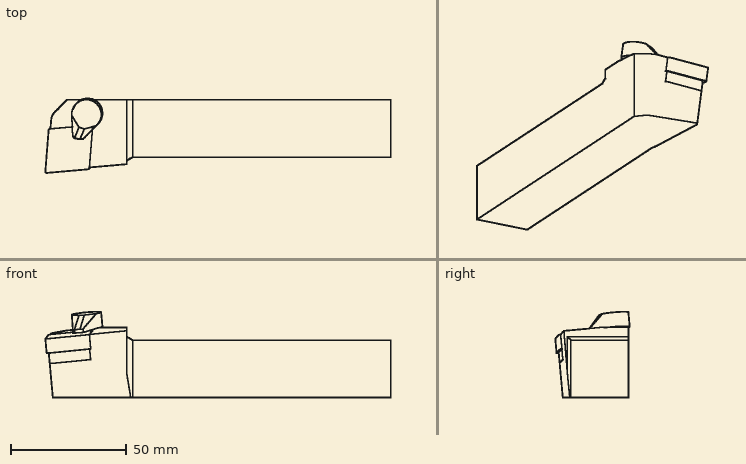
import cadquery as cq
import math

length = 150.0
shank_size = 25.0
head_end = 35.4
neck_length = 2.5
neck_rise = 1.5

seat_slope = 0.091
head_flat_height = 30.6
nose_x = -0.07
nose_y = -32.0
nose_z = 25.5

nose_angle = 80.0
lead_angle = (90.0 - nose_angle) / 2
insert_width = 19.0
insert_side = insert_width / math.sin(math.radians(nose_angle))
insert_thickness = 6.3
insert_radius = 0.7
insert_overhang = 0.7
shim_thickness = 4.6
shim_radius = 1.6
shim_back_inset = 0.5

head_corner_y = 25.2
bevel_radius = 5.4
prism_reach = 45.0

clamp_x = 18.9
clamp_y = 26.2
clamp_radius = 6.5
clamp_gap = 0.7
clamp_top = 7.0
lip_height = 1.5
lip_points = [(12.3, 16.2), (13.0, 15.3), (15.5, 14.8), (16.8, 15.0)]
clamp_edge_angles = [185.0, 239.0, 261.0, 311.0]

seat = cq.Plane(
    origin=(nose_x, nose_y, nose_z),
    xDir=(1, 0, seat_slope),
    normal=(-seat_slope, -seat_slope, 1),
)


def polar(distance, angle):
    return (distance * math.cos(math.radians(angle)), distance * math.sin(math.radians(angle)))


def rhombus(height, thickness, inset=0.0, back_inset=0.0, radius=0.0):
    """Rhombic plate hanging below the given seat height, with its outer and inner sides moved in."""
    corner = polar(inset / math.sin(math.radians(nose_angle / 2)), 45)
    side = insert_side - (inset + back_inset) / math.sin(math.radians(nose_angle))
    front = polar(side, lead_angle)
    left = polar(side, 90 - lead_angle)
    points = [(0, 0), front, (front[0] + left[0], front[1] + left[1]), left]
    plate = (
        cq.Workplane(seat).workplane(offset=height)
        .polyline([(corner[0] + x, corner[1] + y) for x, y in points]).close()
        .extrude(-thickness)
    )
    if radius:
        side_edges = cq.selectors.ParallelDirSelector(seat.zDir)
        plate = plate.edges(side_edges).fillet(radius)
    return plate


def round_lean_edge(prism, point, radius):
    """Fillet the leaning edge that passes the seat plane at the given point."""
    nearest = cq.selectors.NearestToPointSelector(seat.toWorldCoords((*point, 0)).toTuple())
    edge = prism.edges(cq.selectors.ParallelDirSelector(seat.zDir)).edges(nearest)
    return edge.fillet(radius)


def make_head_prism():
    """Leaning prism with a rounded nose and a rounded bevel at the rear left corner."""
    corner = polar(insert_overhang / math.sin(math.radians(nose_angle / 2)), 45)
    front = polar(prism_reach, lead_angle)
    left_length = (head_corner_y - corner[1]) / math.cos(math.radians(lead_angle))
    left = polar(left_length, 90 - lead_angle)
    bevel_start = (corner[0] + left[0], corner[1] + left[1])
    bevel_run = prism_reach - bevel_start[0]
    prism = (
        cq.Workplane(seat).workplane(offset=prism_reach / 2)
        .polyline([
            corner,
            (corner[0] + front[0], corner[1] + front[1]),
            (prism_reach, bevel_start[1] + bevel_run),
            bevel_start,
        ]).close()
        .extrude(-1.5 * prism_reach)
    )

    prism = round_lean_edge(prism, corner, shim_radius)
    return round_lean_edge(prism, bevel_start, bevel_radius)


def make_head(prism):
    below_seat = cq.Workplane(seat).rect(8 * prism_reach, 8 * prism_reach).extrude(-2 * prism_reach)
    envelope = cq.Workplane().box(
        head_end + prism_reach, prism_reach, head_flat_height, centered=False
    ).translate((-prism_reach, -prism_reach, 0))
    return prism.intersect(below_seat).intersect(envelope)


def make_neck(prism):
    """Straight taper from the head down to the shank, trimmed by the leaning front wall."""
    depth = shank_size + neck_rise

    def profile(plane, side):
        return (
            cq.Workplane(plane)
            .moveTo(head_end, 0)
            .lineTo(head_end + neck_length, 0)
            .lineTo(head_end + neck_length, side * shank_size)
            .lineTo(head_end, side * depth)
            .close()
            .extrude(depth)
        )

    return profile("XZ", 1).intersect(profile("XY", -1)).intersect(prism)


def make_shank():
    start = head_end + neck_length
    return cq.Workplane().box(length - start, shank_size, shank_size, centered=False).translate(
        (start, -shank_size, 0)
    )


def clamp_rim_point(angle):
    x, y = polar(clamp_radius, angle)
    return (clamp_x + x, clamp_y + y)


def make_clamp_nose():
    """Finger that slopes from the rim of the clamp disc down to its lip on the insert."""
    rim = [clamp_rim_point(angle) for angle in clamp_edge_angles]

    def at(points, height):
        return [seat.toWorldCoords((x, y, height)) for x, y in points]

    rim_top = at(rim, clamp_top)
    rim_low = at([rim[0], rim[-1]], clamp_gap)
    lip_top = at(lip_points, lip_height)
    lip_low = at(lip_points, 0)
    polygons = [
        rim_top,
        lip_low,
        [rim_low[0], rim_low[1], rim_top[-1]],
        [rim_low[0], rim_top[-1], rim_top[0]],
        [rim_low[0], rim_top[0], lip_top[0]],
        [rim_low[0], lip_top[0], lip_low[0]],
        [rim_low[1], rim_top[-1], lip_top[-1]],
        [rim_low[1], lip_top[-1], lip_low[-1]],
        [rim_low[0], rim_low[1], lip_low[-1]],
        [rim_low[0], lip_low[-1], lip_low[0]],
    ]
    for i in range(len(rim) - 1):
        polygons.append([rim_top[i], rim_top[i + 1], lip_top[i]])
        polygons.append([rim_top[i + 1], lip_top[i + 1], lip_top[i]])
        polygons.append([lip_top[i], lip_top[i + 1], lip_low[i + 1], lip_low[i]])
    faces = [cq.Face.makeFromWires(cq.Wire.makePolygon(p, close=True)) for p in polygons]
    return cq.Workplane(cq.Solid.makeSolid(cq.Shell.makeShell(faces)).fix())


def make_clamp():
    """Disc faceted where the nose meets it, held just above the head."""
    rim = [clamp_rim_point(angle) for angle in clamp_edge_angles]
    back = clamp_rim_point((clamp_edge_angles[0] + clamp_edge_angles[-1]) / 2 + 180)
    disc = (
        cq.Workplane(seat).workplane(offset=clamp_gap)
        .polyline(rim).threePointArc(back, rim[0]).close()
        .extrude(clamp_top - clamp_gap)
    )
    return disc.union(make_clamp_nose())


def make_holder():
    """Shank and head with an open stepped pocket for the insert and shim."""
    prism = make_head_prism()
    insert_pocket = rhombus(0, insert_thickness)
    shim_pocket = rhombus(-insert_thickness, shim_thickness, back_inset=shim_back_inset)
    head = make_head(prism).cut(insert_pocket).cut(shim_pocket)
    return head.union(make_neck(prism)).union(make_shank())


def make_insert_set():
    """Insert joined to the shim under it and the clamp whose lip rests on it."""
    insert = rhombus(0, insert_thickness, radius=insert_radius)
    shim = rhombus(-insert_thickness, shim_thickness, insert_overhang, shim_back_inset, shim_radius)
    return insert.union(shim).union(make_clamp())


holder = make_holder()
insert_set = make_insert_set()
result = cq.Compound.makeCompound([holder.val(), insert_set.val()])